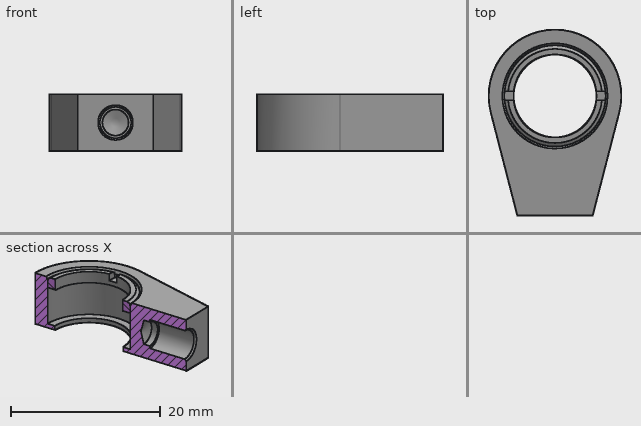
import cadquery as cq
import math

height = 7.62
total_length = 24.9
head_radius = 8.89
foot_half_width = 5.05
foot_y = head_radius - total_length

bore_radius = 6.77
bore_chamfer_width = 0.27
bore_chamfer_depth = 0.47
lip_thickness = 0.67
lip_radius = 5.6

tap_radius = 2.1
tap_depth = 5.97
tap_chamfer = 0.25
drill_radius = 1.75
drill_depth = 6.97
drill_tip_angle = 150.0

ring_inner_radius = 5.53
ring_thickness = 1.65
ring_chamfer_width = 0.47
ring_chamfer_depth = 0.27
slot_width = 1.2
slot_depth = 1.0


def make_tapped_hole():
    """Cutter for the foot hole: chamfered mouth, threaded length, drilled end with a cone."""
    tip_length = drill_radius / math.tan(math.radians(drill_tip_angle / 2))
    profile = [
        (0, 0),
        (tap_radius + tap_chamfer, 0),
        (tap_radius, tap_chamfer),
        (tap_radius, tap_depth),
        (drill_radius, tap_depth),
        (drill_radius, drill_depth),
        (0, drill_depth + tip_length),
    ]
    cutter = cq.Workplane("XY").polyline(profile).close().revolve(360, (0, 0), (0, 1))
    return cutter.translate((0, foot_y, height / 2))


def make_bore():
    """Cutter for the stepped lens bore with a chamfered top edge."""
    profile = [
        (0, 0),
        (lip_radius, 0),
        (lip_radius, lip_thickness),
        (bore_radius, lip_thickness),
        (bore_radius, height - bore_chamfer_depth),
        (bore_radius + bore_chamfer_width, height),
        (0, height),
    ]
    return cq.Workplane("XZ").polyline(profile).close().revolve(360, (0, 0), (0, 1))


def make_housing():
    corner_distance = math.hypot(foot_half_width, foot_y)
    corner_angle = math.atan2(foot_y, foot_half_width)
    tangent_angle = corner_angle + math.acos(head_radius / corner_distance)
    tangent_x = head_radius * math.cos(tangent_angle)
    tangent_y = head_radius * math.sin(tangent_angle)
    body = (
        cq.Workplane("XY")
        .moveTo(-foot_half_width, foot_y)
        .lineTo(foot_half_width, foot_y)
        .lineTo(tangent_x, tangent_y)
        .threePointArc((0, head_radius), (-tangent_x, tangent_y))
        .close()
        .extrude(height)
    )
    return body.cut(make_bore()).cut(make_tapped_hole())


def make_retaining_ring():
    ring = (
        cq.Workplane("XY", origin=(0, 0, height - ring_thickness))
        .circle(bore_radius)
        .circle(ring_inner_radius)
        .extrude(ring_thickness)
    )
    outer_rim = cq.selectors.RadiusNthSelector(1)
    ring = ring.faces(">Z").edges(outer_rim).chamfer(ring_chamfer_depth, ring_chamfer_width)
    slots = (
        cq.Workplane("XY", origin=(0, 0, height - slot_depth))
        .rect(2 * head_radius, slot_width)
        .extrude(slot_depth)
    )
    return ring.cut(slots)


housing = make_housing()
retaining_ring = make_retaining_ring()

result = cq.Compound.makeCompound([housing.val(), retaining_ring.val()])